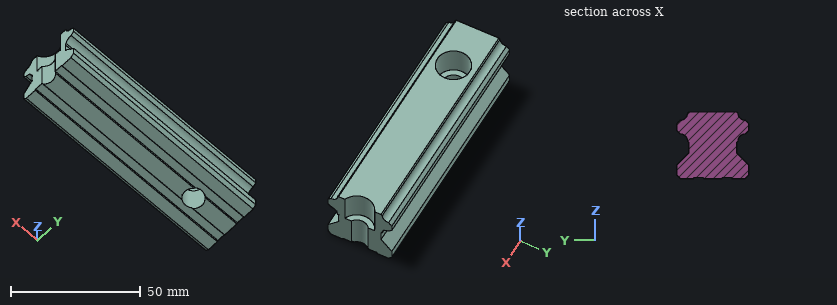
import cadquery as cq
import math

length = 97.4
width = 28.0
height = 25.9
half_width = width / 2

head_half_top = 9.3
head_chamfer = 0.5
nose_center_z = 20.0
nose_half_height = 1.3
nose_chamfer = 1.4
groove_radius = 2.7

groove_inner_y = head_half_top + head_chamfer
groove_inner_rise = height - head_chamfer - nose_center_z
groove_outer_y = half_width - nose_chamfer
groove_outer_rise = nose_half_height + nose_chamfer

web_half_width = head_half_top
foot_side_height = 5.35
foot_slope_angle = 45.0
foot_chamfer = 1.5

relief_center_y = 5.45
relief_width = 4.1
relief_depth = 0.5
relief_draft = 0.3

hole_pitch = 80.0
first_hole_x = 20.0
hole_count = 2
bore_diameter = 9.0
counterbore_diameter = 14.0
counterbore_depth = 12.0


def groove_midpoint():
    """Middle of the upper ball groove arc as (y, rise above the nose centre)."""
    chord_y = groove_outer_y - groove_inner_y
    chord_z = groove_outer_rise - groove_inner_rise
    chord = math.hypot(chord_y, chord_z)
    sagitta = groove_radius - math.sqrt(groove_radius**2 - (chord / 2) ** 2)
    mid_y = (groove_inner_y + groove_outer_y) / 2 + sagitta * chord_z / chord
    mid_rise = (groove_inner_rise + groove_outer_rise) / 2 - sagitta * chord_y / chord
    return mid_y, mid_rise


def make_half_rail():
    """Extrude the +Y half of the rail section along X."""
    mid_y, mid_rise = groove_midpoint()
    head_bottom_z = 2 * nose_center_z - height
    foot_slope_run = half_width - web_half_width
    foot_top_z = foot_side_height + foot_slope_run * math.tan(math.radians(foot_slope_angle))
    section = (
        cq.Workplane("YZ")
        .moveTo(0, 0)
        .lineTo(half_width - foot_chamfer, 0)
        .lineTo(half_width, foot_chamfer)
        .lineTo(half_width, foot_side_height)
        .lineTo(web_half_width, foot_top_z)
        .lineTo(web_half_width, head_bottom_z)
        .lineTo(groove_inner_y, nose_center_z - groove_inner_rise)
        .threePointArc(
            (mid_y, nose_center_z - mid_rise),
            (groove_outer_y, nose_center_z - groove_outer_rise),
        )
        .lineTo(half_width, nose_center_z - nose_half_height)
        .lineTo(half_width, nose_center_z + nose_half_height)
        .lineTo(groove_outer_y, nose_center_z + groove_outer_rise)
        .threePointArc(
            (mid_y, nose_center_z + mid_rise),
            (groove_inner_y, nose_center_z + groove_inner_rise),
        )
        .lineTo(head_half_top, height)
        .lineTo(0, height)
        .close()
    )
    return section.extrude(length)


def make_relief():
    """Relief groove running the full length under the +Y half of the foot."""
    outer_y = relief_center_y + relief_width / 2
    inner_y = relief_center_y - relief_width / 2
    return (
        cq.Workplane("YZ")
        .moveTo(inner_y, 0)
        .lineTo(outer_y, 0)
        .lineTo(outer_y - relief_draft, relief_depth)
        .lineTo(inner_y + relief_draft, relief_depth)
        .close()
        .extrude(length)
    )


def make_mounting_hole(x):
    """Through bore with a counterbore from the top."""
    bore = cq.Workplane("XY").center(x, 0).circle(bore_diameter / 2).extrude(height)
    counterbore = (
        cq.Workplane("XY", origin=(x, 0, height))
        .circle(counterbore_diameter / 2)
        .extrude(-counterbore_depth)
    )
    return bore.union(counterbore)


half_rail = make_half_rail().cut(make_relief())
result = half_rail.union(half_rail.mirror("XZ")).clean()
for index in range(hole_count):
    result = result.cut(make_mounting_hole(first_hole_x + index * hole_pitch))